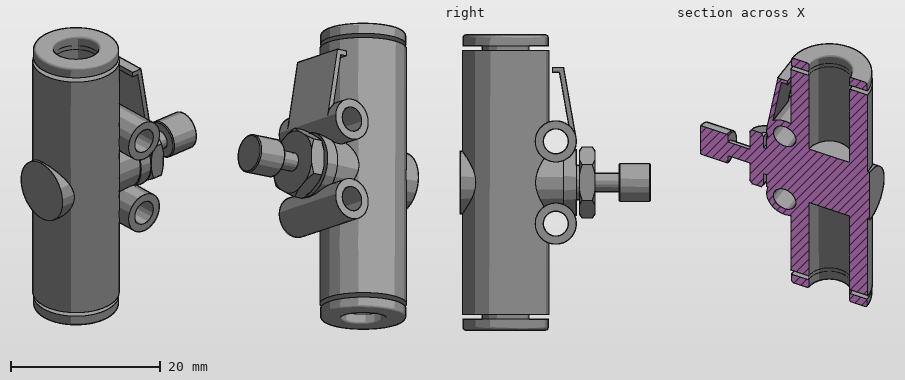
import cadquery as cq
import math

overall_length = 39.5
body_length = 35.3
body_diameter = 11.6
collar_diameter = 11.4
collar_thickness = 1.5
collar_edge_radius = 0.4
neck_diameter = 6.3
port_diameter = 6.0
port_mouth_radius = 0.4
port_depth = 15.0

boss_diameter = 8.4
front_face_y = -6.1
rear_disc_diameter = 8.8
rear_disc_start_y = 7.75

sleeve_length = 12.3
sleeve_diameter = 5.5
sleeve_bore_diameter = 3.3
sleeve_spacing = 11.0
sleeve_y = 6.7
rear_face_y = sleeve_y + sleeve_diameter / 2

overall_depth = 25.45
knob_end_y = front_face_y + overall_depth
shoulder_diameter = 4.65
nut_start_y = 9.85
nut_thickness = 2.1
nut_sides = 6
nut_across_flats = 8.25
nut_chamfer_axial = 0.37
nut_chamfer_radial = 0.53
stem_diameter = 2.5
knob_diameter = 5.1
knob_length = 4.2
knob_chamfer = 0.15

clip_width = 8.7
clip_top_z = 15.4
clip_lean = 10.0
clip_thickness = 0.68
clip_lip_end_y = 6.25


def y_cylinder(diameter, start_y, end_y):
    """Cylinder on the Y axis between two Y positions."""
    plane = cq.Workplane("XZ", origin=(0, start_y, 0))
    return plane.circle(diameter / 2).extrude(start_y - end_y)


def make_upper_collar():
    """Neck and rounded collar above the top end of the tube."""
    neck_length = (overall_length - body_length) / 2 - collar_thickness
    neck = cq.Workplane("XY", origin=(0, 0, body_length / 2)).circle(neck_diameter / 2).extrude(neck_length)
    collar = (
        cq.Workplane("XY", origin=(0, 0, overall_length / 2 - collar_thickness))
        .circle(collar_diameter / 2)
        .extrude(collar_thickness)
        .faces(">Z")
        .edges()
        .fillet(collar_edge_radius)
    )
    return neck.union(collar)


def make_upper_port():
    """Blind port cutter with a rounded mouth, opening at the top of the tube."""
    radius = port_diameter / 2
    top_z = overall_length / 2
    mouth_z = top_z - port_mouth_radius
    return (
        cq.Workplane("XZ")
        .moveTo(0, top_z - port_depth)
        .lineTo(radius, top_z - port_depth)
        .lineTo(radius, mouth_z)
        .radiusArc((radius + port_mouth_radius, top_z), port_mouth_radius)
        .lineTo(0, top_z)
        .close()
        .revolve(360, (0, 0, 0), (0, 1, 0))
    )


def make_sleeves(diameter):
    """The two cross cylinders along X, used for the sleeves and for their bores."""
    return (
        cq.Workplane("YZ")
        .pushPoints([(sleeve_y, side * sleeve_spacing / 2) for side in (-1, 1)])
        .circle(diameter / 2)
        .extrude(sleeve_length / 2, both=True)
    )


def make_nut():
    """Hexagon nut with corners up and down, both faces chamfered by a cone."""
    half_face_angle = 180 / nut_sides
    corner_radius = nut_across_flats / 2 / math.cos(math.radians(half_face_angle))
    nut_end_y = nut_start_y + nut_thickness
    hexagon = (
        cq.Workplane("XZ", origin=(0, nut_start_y, 0))
        .polygon(nut_sides, 2 * corner_radius)
        .extrude(-nut_thickness)
        .rotate((0, 0, 0), (0, 1, 0), half_face_angle)
    )
    envelope = (
        y_cylinder(2 * corner_radius, nut_start_y, nut_end_y)
        .faces("<Y")
        .edges()
        .chamfer(nut_chamfer_axial, nut_chamfer_radial)
        .faces(">Y")
        .edges()
        .chamfer(nut_chamfer_axial, nut_chamfer_radial)
    )
    return hexagon.intersect(envelope)


def make_screw():
    """Shoulder, stem, lock nut and knob of the adjusting screw."""
    knob_start_y = knob_end_y - knob_length
    shoulder = y_cylinder(shoulder_diameter, rear_face_y, nut_start_y)
    stem = y_cylinder(stem_diameter, rear_face_y, knob_end_y)
    knob = y_cylinder(knob_diameter, knob_start_y, knob_end_y).edges("%CIRCLE").chamfer(knob_chamfer)
    return shoulder.union(stem).union(make_nut()).union(knob)


def make_clip():
    """Leaning strip that runs down into the upper sleeve, with its top lip."""
    lean = math.radians(clip_lean)
    tangent_y = sleeve_y + sleeve_diameter / 2 * math.cos(lean)
    tangent_z = sleeve_spacing / 2 + sleeve_diameter / 2 * math.sin(lean)
    lip_bottom_z = clip_top_z - clip_thickness
    inner_offset = clip_thickness / math.cos(lean)

    def outer_y(z):
        return tangent_y - (z - tangent_z) * math.tan(lean)

    return (
        cq.Workplane("YZ")
        .moveTo(clip_lip_end_y, clip_top_z)
        .lineTo(outer_y(clip_top_z), clip_top_z)
        .lineTo(tangent_y, tangent_z)
        .lineTo(tangent_y - inner_offset, tangent_z)
        .lineTo(outer_y(lip_bottom_z) - inner_offset, lip_bottom_z)
        .lineTo(clip_lip_end_y, lip_bottom_z)
        .close()
        .extrude(clip_width / 2, both=True)
    )


body = cq.Workplane("XY").circle(body_diameter / 2).extrude(body_length / 2, both=True)
upper_collar = make_upper_collar()
upper_port = make_upper_port()

result = (
    body.union(upper_collar)
    .union(upper_collar.mirror("XY"))
    .union(y_cylinder(boss_diameter, front_face_y, rear_disc_start_y))
    .union(y_cylinder(rear_disc_diameter, rear_disc_start_y, rear_face_y))
    .union(make_sleeves(sleeve_diameter))
    .union(make_clip())
    .union(make_screw())
    .cut(make_sleeves(sleeve_bore_diameter))
    .cut(upper_port)
    .cut(upper_port.mirror("XY"))
)